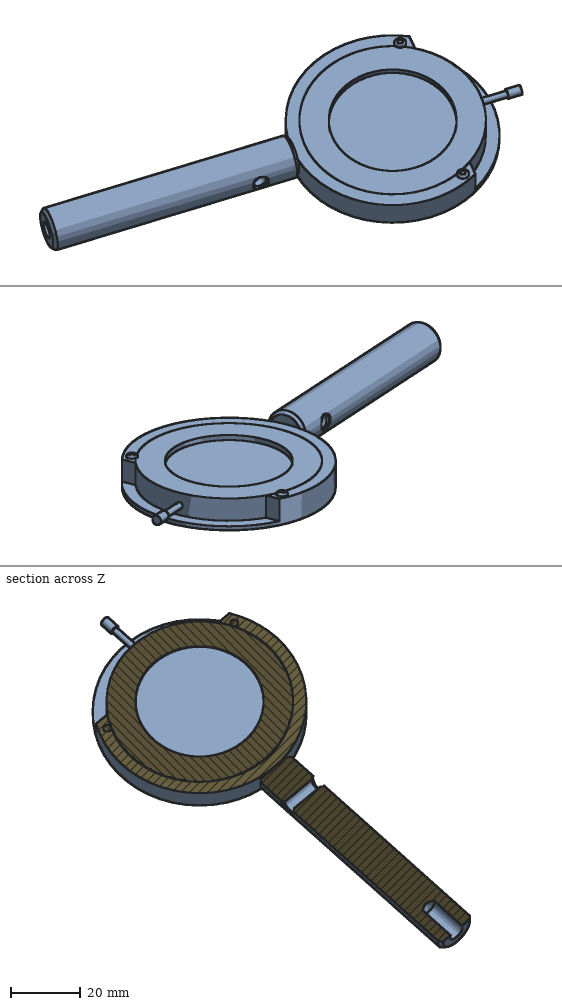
import cadquery as cq
import math


housing_diameter = 61.9
housing_radius = housing_diameter / 2
housing_bottom_z = -5.9
housing_top_z = 2.5
floor_thickness = 1.3
floor_z = housing_bottom_z + floor_thickness
wall_cut_y = 15.4

insert_diameter = 54.0
aperture_diameter = 37.0
aperture_depth = 1.6
lever_z = -1.5
lever_end_y = 39.6
lever_diameter = 2.0
knob_diameter = 3.0
knob_length = 4.3

screw_x = 25.5
screw_y = 12.0
screw_head_diameter = 3.5
screw_head_height = 1.0
socket_diameter = 1.6
socket_depth = 0.6
shank_diameter = 2.0
shank_length = 3.0

overall_length = 146.7
handle_diameter = 12.8
handle_front_y = lever_end_y - overall_length
handle_back_y = -housing_radius
handle_chamfer = 1.0
cross_hole_diameter = 4.0
countersink_diameter = 5.0
cross_hole_y = -43.1
end_hole_diameter = 5.0
end_hole_depth = 11.7
drill_point_angle = 118.0


def cylinder_z(diameter, bottom_z, top_z, x=0, y=0):
    """Upright cylinder between two heights."""
    return cq.Workplane("XY", origin=(x, y, bottom_z)).circle(diameter / 2).extrude(top_z - bottom_z)


def cylinder_y(diameter, start_y, end_y, z=0):
    """Cylinder along Y on the plane X = 0."""
    return cq.Workplane("XZ", origin=(0, start_y, z)).circle(diameter / 2).extrude(start_y - end_y)


def make_housing():
    """Cup holding the insert, its wall cut down to the floor around the lever."""
    housing = cylinder_z(housing_diameter, housing_bottom_z, housing_top_z)
    housing = housing.cut(cylinder_z(insert_diameter, floor_z, housing_top_z))
    lever_opening = cq.Workplane("XY", origin=(0, wall_cut_y, floor_z)).box(
        housing_diameter, housing_radius, housing_top_z - floor_z, centered=(True, False, False)
    )
    housing = housing.cut(lever_opening)
    for side in (-1, 1):
        screw_hole = cylinder_z(
            shank_diameter, housing_top_z - shank_length, housing_top_z, side * screw_x, screw_y
        )
        housing = housing.cut(screw_hole)
    return housing


def make_insert():
    """Iris disc with a shallow aperture recess and a knobbed lever in its rim."""
    disc = cylinder_z(insert_diameter, floor_z, housing_top_z)
    lever = cylinder_y(lever_diameter, aperture_diameter / 2, lever_end_y, lever_z)
    knob = cylinder_y(knob_diameter, lever_end_y - knob_length, lever_end_y, lever_z)
    aperture = cylinder_z(aperture_diameter, housing_top_z - aperture_depth, housing_top_z)
    return disc.union(lever).union(knob).cut(aperture)


def make_screw(x):
    """Socket screw whose domed head overlaps the rim of the insert."""
    head_top_z = housing_top_z + screw_head_height
    head_radius = screw_head_diameter / 2
    dome_radius = (head_radius**2 + screw_head_height**2) / (2 * screw_head_height)
    dome = cq.Workplane("XY", origin=(x, screw_y, head_top_z - dome_radius)).sphere(dome_radius)
    head = cylinder_z(screw_head_diameter, housing_top_z, head_top_z, x, screw_y).intersect(dome)
    shank = cylinder_z(shank_diameter, housing_top_z - shank_length, housing_top_z, x, screw_y)
    socket = cylinder_z(socket_diameter, head_top_z - socket_depth, head_top_z, x, screw_y)
    return head.union(shank).cut(socket)


def make_end_hole():
    """Blind drilled hole with a conical bottom, in the free end of the handle."""
    radius = end_hole_diameter / 2
    straight_end_y = handle_front_y + end_hole_depth
    tip_y = straight_end_y + radius / math.tan(math.radians(drill_point_angle / 2))
    profile = [(0, handle_front_y), (radius, handle_front_y), (radius, straight_end_y), (0, tip_y)]
    return cq.Workplane("XY").polyline(profile).close().revolve(360, (0, 0, 0), (0, 1, 0))


def make_cross_hole():
    """Hole across the handle with a 45 degree countersink at both mouths."""
    hole_radius = cross_hole_diameter / 2
    sink_radius = countersink_diameter / 2
    handle_radius = handle_diameter / 2
    sink_x = math.sqrt(handle_radius**2 - sink_radius**2)
    sink_depth = sink_radius - hole_radius
    profile = [
        (-handle_radius, 0),
        (-handle_radius, sink_radius),
        (-sink_x, sink_radius),
        (-sink_x + sink_depth, hole_radius),
        (sink_x - sink_depth, hole_radius),
        (sink_x, sink_radius),
        (handle_radius, sink_radius),
        (handle_radius, 0),
    ]
    hole = cq.Workplane("XY").polyline(profile).close().revolve(360, (0, 0, 0), (1, 0, 0))
    return hole.translate((0, cross_hole_y, 0))


def make_handle():
    """Round bar with chamfered ends, a cross hole and a drilled end hole."""
    handle = cylinder_y(handle_diameter, handle_front_y, handle_back_y)
    handle = handle.faces("<Y or >Y").edges().chamfer(handle_chamfer)
    return handle.cut(make_cross_hole()).cut(make_end_hole())


housing = make_housing()
insert = make_insert()
handle = make_handle()
screws = [make_screw(side * screw_x) for side in (-1, 1)]

result = cq.Compound.makeCompound(
    [housing.val(), insert.val(), handle.val(), *[screw.val() for screw in screws]]
)